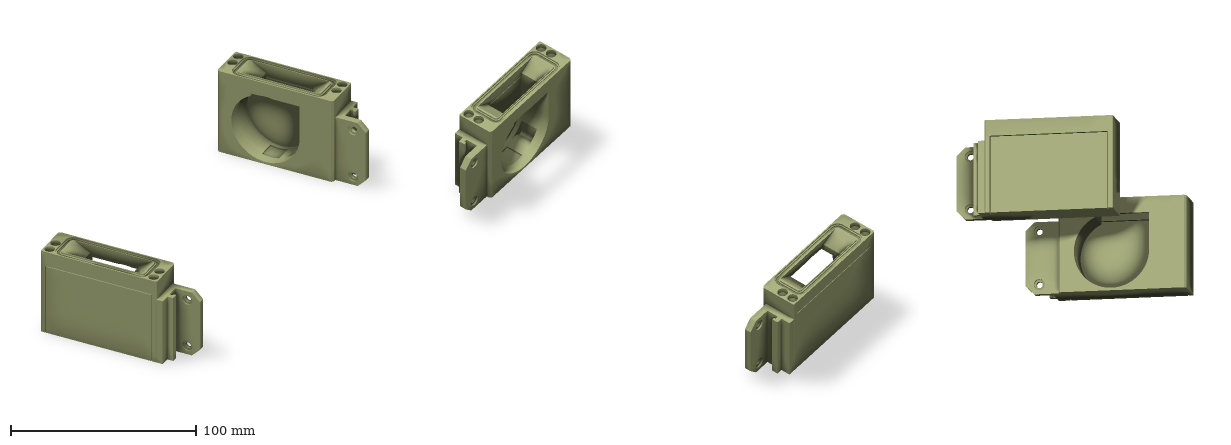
import cadquery as cq
import math

SPAN = 230.0
OUTER_Y = SPAN / 2

WIDTH = 70.4
DEPTH = 21.8
HEIGHT = 51.0
INNER_CHAMFER = 1.2
OUTER_CHAMFER = 0.5
INNER_Y = OUTER_Y - DEPTH
MID_Y = (INNER_Y + OUTER_Y) / 2

COVER_WIDTH = 64.0
COVER_HEIGHT = 41.9
COVER_THICKNESS = 3.0
COVER_GAP = 0.5
COVER_BACK_Y = OUTER_Y - COVER_THICKNESS

MOUTH_HALF_WIDTH = 24.2
MOUTH_LENGTH_Y = 13.8
MOUTH_SLOPE_HEIGHT = 6.2
INNER_FLARE = 1.8
THROAT_HALF_WIDTH = 15.0

BOWL_RADIUS = 20.7
BOWL_X = THROAT_HALF_WIDTH - BOWL_RADIUS
BOWL_Z = 22.0
CHAMBER_TOP = 42.3

POCKET_INNER_RIM = 5.8
POCKET_OUTER_RIM = 5.5
POCKET_START_Y = INNER_Y + POCKET_INNER_RIM
POCKET_END_Y = OUTER_Y - POCKET_OUTER_RIM
FLAT_POCKET_WIDTH = 10.4
FLAT_POCKET_DEPTH = 1.0
SIDE_POCKET_START = 27.0
SIDE_POCKET_END = 60.0
SIDE_POCKET_LIP_RADIUS = 5.5
SIDE_POCKET_FALL = 40.0

SEAL_LENGTH = 56.8
SEAL_WALL = 0.7
SEAL_RADIUS = 4.8
SEAT_WIDTH = 3.0
SEAT_DEPTH = 1.0
CHANNEL_INSET = 0.7
CHANNEL_WIDTH = 1.5
CHANNEL_DEPTH = 1.5

SOCKET_DIAMETER = 5.8
SOCKET_DEPTH = 2.8
SOCKET_INSET = 3.7
SOCKET_PITCH = 7.0

BRACKET_HEIGHT = 39.8
BRACKET_WALL = 3.7
BRACKET_REACH = 18.5
FLANGE_OFFSET = 2.8
FLANGE_THICKNESS = 4.0
FLANGE_CHAMFER = 4.8
SCREW_DIAMETER = 3.5
COUNTERBORE_DIAMETER = 6.0
COUNTERBORE_DEPTH = 1.0
SCREW_TIP_DISTANCE = 7.5
SCREW_HEIGHTS = (5.3, 34.5)

RAIL_OFFSET = 16.3
RAIL_THICKNESS = 2.5
RAIL_REACH = 3.5
HOOK_LENGTH = 3.7
HOOK_THICKNESS = 1.5


def block(x0, x1, y0, y1, z0, z1):
    """Box given by its limits along each axis."""
    return cq.Workplane("XY").box(x1 - x0, y1 - y0, z1 - z0, centered=False).translate((x0, y0, z0))


def top_prism(length, width, radius, depth):
    """Rounded rectangular prism that reaches down from the top face."""
    prism = cq.Workplane("XY").box(length, width, depth, centered=(True, True, False))
    return prism.edges("|Z").fillet(radius).translate((0, MID_Y, HEIGHT - depth))


def along_y(outline, y0, y1):
    """Extrude an XZ outline from y0 to y1."""
    return outline.extrude(-(y1 - y0)).translate((0, y0, 0))


def bowl_point(angle, radius):
    """Point in XZ at an angle in degrees from the lowest point of the bowl, toward +X."""
    turn = math.radians(angle)
    return (BOWL_X + radius * math.sin(turn), BOWL_Z - radius * math.cos(turn))


def chamber():
    bowl = along_y(
        cq.Workplane("XZ").center(BOWL_X, BOWL_Z).circle(BOWL_RADIUS), INNER_Y, COVER_BACK_Y
    )
    throat = block(
        -THROAT_HALF_WIDTH, THROAT_HALF_WIDTH, INNER_Y, COVER_BACK_Y, BOWL_Z, CHAMBER_TOP
    )
    return bowl.union(throat)


def mouth():
    slope_end = HEIGHT - MOUTH_SLOPE_HEIGHT
    outline = (
        cq.Workplane("XZ")
        .moveTo(-MOUTH_HALF_WIDTH, HEIGHT)
        .lineTo(MOUTH_HALF_WIDTH, HEIGHT)
        .lineTo(THROAT_HALF_WIDTH, slope_end)
        .lineTo(THROAT_HALF_WIDTH, BOWL_Z)
        .lineTo(-THROAT_HALF_WIDTH, BOWL_Z)
        .lineTo(-THROAT_HALF_WIDTH, slope_end)
        .close()
    )
    funnel = along_y(outline, INNER_Y, OUTER_Y)

    edge_y = MOUTH_LENGTH_Y / 2
    flare = (
        cq.Workplane("YZ")
        .moveTo(MID_Y - edge_y, HEIGHT)
        .lineTo(MID_Y + edge_y, HEIGHT)
        .lineTo(COVER_BACK_Y, CHAMBER_TOP)
        .lineTo(COVER_BACK_Y, BOWL_Z)
        .lineTo(MID_Y - edge_y - INNER_FLARE, BOWL_Z)
        .lineTo(MID_Y - edge_y - INNER_FLARE, CHAMBER_TOP)
        .close()
        .extrude(WIDTH / 2, both=True)
    )
    return funnel.intersect(flare)


def flat_pocket():
    """Shallow pocket at the lowest part of the bowl, with a floor concentric to it."""
    half = FLAT_POCKET_WIDTH / 2
    ring = along_y(
        cq.Workplane("XZ").center(BOWL_X, BOWL_Z).circle(BOWL_RADIUS + FLAT_POCKET_DEPTH),
        POCKET_START_Y,
        POCKET_END_Y,
    )
    return ring.intersect(block(BOWL_X - half, BOWL_X + half, INNER_Y, OUTER_Y, 0, BOWL_Z))


def side_pocket():
    """Pocket in the rising side of the bowl: a rounded lip falls to a hollow under an upright wall."""
    radius = SIDE_POCKET_LIP_RADIUS
    fall = math.radians(SIDE_POCKET_FALL)
    lip_x, lip_z = bowl_point(SIDE_POCKET_START, BOWL_RADIUS + radius)
    crest = (lip_x, lip_z + radius)
    lip_end = (lip_x + radius * math.sin(fall), lip_z + radius * math.cos(fall))
    rim = bowl_point(SIDE_POCKET_END, BOWL_RADIUS)

    chord_slope = (math.pi / 2 - fall) / 2
    wall_foot = (rim[0], lip_end[1] + (rim[0] - lip_end[0]) * math.tan(chord_slope))
    outline = (
        cq.Workplane("XZ")
        .moveTo(*bowl_point(SIDE_POCKET_START, BOWL_RADIUS))
        .threePointArc(crest, lip_end)
        .tangentArcPoint(wall_foot, relative=False)
        .lineTo(*rim)
        .lineTo(BOWL_X, BOWL_Z)
        .close()
    )
    return along_y(outline, POCKET_START_Y, POCKET_END_Y)


def seal_ring(inset, ring_width, depth):
    """Rounded rectangular groove in the top face, set in from the outline of the seal."""
    length = SEAL_LENGTH - 2 * inset
    width = DEPTH - 2 * (SEAL_WALL + inset)
    radius = SEAL_RADIUS - inset
    outer = top_prism(length, width, radius, depth)
    core = top_prism(length - 2 * ring_width, width - 2 * ring_width, radius - ring_width, depth)
    return outer.cut(core)


def seal_seat():
    channel = seal_ring(CHANNEL_INSET, CHANNEL_WIDTH, CHANNEL_DEPTH)
    return seal_ring(0, SEAT_WIDTH, SEAT_DEPTH).union(channel)


def sockets():
    socket_x = WIDTH / 2 - SOCKET_INSET
    socket_y = OUTER_Y - SOCKET_INSET
    places = [(side * socket_x, socket_y - row * SOCKET_PITCH) for side in (-1, 1) for row in (0, 1)]
    holes = cq.Workplane("XY").pushPoints(places).circle(SOCKET_DIAMETER / 2).extrude(SOCKET_DEPTH)
    return holes.translate((0, 0, HEIGHT - SOCKET_DEPTH))


def make_housing():
    """Housing on the +Y side, open at the top and toward -Y."""
    half = WIDTH / 2
    body = block(-half, half, INNER_Y, OUTER_Y, 0, HEIGHT)
    body = body.edges("|Z and <Y").chamfer(INNER_CHAMFER)
    body = body.edges("|Z and >Y").chamfer(OUTER_CHAMFER)
    half_recess = COVER_WIDTH / 2 + COVER_GAP
    recess = block(-half_recess, half_recess, COVER_BACK_Y, OUTER_Y, 0, COVER_HEIGHT + COVER_GAP)
    for cutter in (recess, chamber(), mouth(), flat_pocket(), side_pocket(), seal_seat(), sockets()):
        body = body.cut(cutter)
    return body


def make_cover():
    """Plate that closes the outer side of the +Y housing."""
    half = COVER_WIDTH / 2
    return block(-half, half, COVER_BACK_Y, OUTER_Y, 0, COVER_HEIGHT)


def make_bracket():
    """Angle bracket with a screw flange and a hooked rail, for the +Y housing."""
    root_x = WIDTH / 2
    wall_x = root_x + BRACKET_WALL
    tip_x = root_x + BRACKET_REACH
    flange_y = INNER_Y + FLANGE_OFFSET
    flange_back_y = flange_y + FLANGE_THICKNESS
    wall = block(root_x, wall_x, flange_y, OUTER_Y, 0, BRACKET_HEIGHT)
    flange = block(root_x, tip_x, flange_y, flange_back_y, 0, BRACKET_HEIGHT)
    flange = flange.edges("|Y and >X").chamfer(FLANGE_CHAMFER)

    rail_top_y = INNER_Y + RAIL_OFFSET
    rail_x = wall_x + RAIL_REACH
    rail = block(wall_x, rail_x, rail_top_y - RAIL_THICKNESS, rail_top_y, 0, BRACKET_HEIGHT)
    hook = block(rail_x - HOOK_THICKNESS, rail_x, rail_top_y - HOOK_LENGTH, rail_top_y, 0, BRACKET_HEIGHT)

    bracket = wall.union(flange).union(rail).union(hook)
    places = [(tip_x - SCREW_TIP_DISTANCE, z) for z in SCREW_HEIGHTS]
    drill = cq.Workplane("XZ").pushPoints(places)
    bracket = bracket.cut(along_y(drill.circle(SCREW_DIAMETER / 2), flange_y, flange_back_y))
    for bore_y in (flange_y, flange_back_y - COUNTERBORE_DEPTH):
        bore = along_y(drill.circle(COUNTERBORE_DIAMETER / 2), bore_y, bore_y + COUNTERBORE_DEPTH)
        bracket = bracket.cut(bore)
    return bracket


def turned(body):
    """Half turn about the Z axis, which carries a body to the -Y unit."""
    return body.rotate((0, 0, 0), (0, 0, 1), 180)


housing = make_housing()
cover = make_cover()
bracket = make_bracket()

housings = [housing, turned(housing)]
covers = [cover, turned(cover)]
brackets = [bracket, bracket.mirror("XZ")]

result = cq.Compound.makeCompound([body.val() for body in housings + covers + brackets])